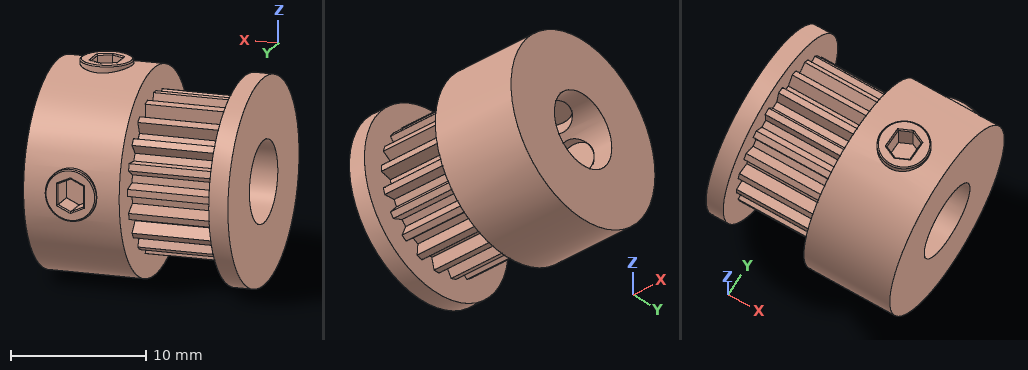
import cadquery as cq
import math


outer_diameter = 16.0
flange_width = 1.5
belt_width = 7.0
hub_width = 7.5
bore_diameter = 6.37

tooth_count = 20
tooth_tip_radius = 6.12
groove_floor_radius = 5.13
tooth_tip_width = 0.54
groove_floor_width = 0.59

screw_diameter = 4.0
screw_length = 5.0
screw_chamfer = 0.1
top_screw_reach = 8.33
side_screw_reach = 8.2

socket_half_width = 1.0
socket_side_half_length = 0.8
socket_apex = 1.25
socket_depth = 2.0

hub_start = flange_width + belt_width
screw_x = hub_start + hub_width / 2
screw_places = [(0, top_screw_reach), (-90, side_screw_reach)]


def disc(start, width, diameter):
    """Cylinder along X beginning at the given X."""
    return cq.Workplane("YZ", origin=(start, 0, 0)).circle(diameter / 2).extrude(width)


def polar_point(radius, angle):
    return radius * math.cos(angle), radius * math.sin(angle)


def toothed_core():
    """Belt-carrying core with trapezoidal grooves between flat-topped teeth."""
    pitch = 2 * math.pi / tooth_count
    tip_half_angle = math.asin(tooth_tip_width / 2 / tooth_tip_radius)
    floor_half_angle = math.atan(groove_floor_width / 2 / groove_floor_radius)
    floor_corner_radius = math.hypot(groove_floor_radius, groove_floor_width / 2)

    outline = cq.Workplane("YZ", origin=(flange_width, 0, 0))
    outline = outline.moveTo(*polar_point(tooth_tip_radius, -tip_half_angle))
    for index in range(tooth_count):
        tooth_angle = index * pitch
        groove_angle = tooth_angle + pitch / 2
        outline = outline.lineTo(*polar_point(tooth_tip_radius, tooth_angle + tip_half_angle))
        outline = outline.lineTo(*polar_point(floor_corner_radius, groove_angle - floor_half_angle))
        outline = outline.lineTo(*polar_point(floor_corner_radius, groove_angle + floor_half_angle))
        if index < tooth_count - 1:
            outline = outline.lineTo(*polar_point(tooth_tip_radius, tooth_angle + pitch - tip_half_angle))
    return outline.close().extrude(belt_width)


def place_screw_shape(shape, turn):
    """Move a shape built along +Z to the hub's middle and turn it about X."""
    return shape.rotate((0, 0, 0), (1, 0, 0), turn).translate((screw_x, 0, 0))


def make_pulley():
    flange = disc(0, flange_width, outer_diameter)
    hub = disc(hub_start, hub_width, outer_diameter)
    pulley = flange.union(toothed_core()).union(hub)
    pulley = pulley.cut(disc(0, hub_start + hub_width, bore_diameter))
    for turn, reach in screw_places:
        screw_hole = cq.Workplane("XY").circle(screw_diameter / 2).extrude(reach)
        pulley = pulley.cut(place_screw_shape(screw_hole, turn))
    return pulley


def make_screw(turn, reach):
    body = (
        cq.Workplane("XY", origin=(0, 0, reach - screw_length))
        .circle(screw_diameter / 2)
        .extrude(screw_length)
    )
    socket = cq.Workplane("XY", origin=(0, 0, reach - socket_depth)).polyline([
        (0, socket_apex),
        (-socket_half_width, socket_side_half_length),
        (-socket_half_width, -socket_side_half_length),
        (0, -socket_apex),
        (socket_half_width, -socket_side_half_length),
        (socket_half_width, socket_side_half_length),
    ]).close().extrude(socket_depth)
    screw = body.cut(socket).faces(">Z").edges().chamfer(screw_chamfer)
    return place_screw_shape(screw, turn)


pulley = make_pulley()
set_screws = [make_screw(turn, reach) for turn, reach in screw_places]

result = cq.Compound.makeCompound([pulley.val(), *[screw.val() for screw in set_screws]])